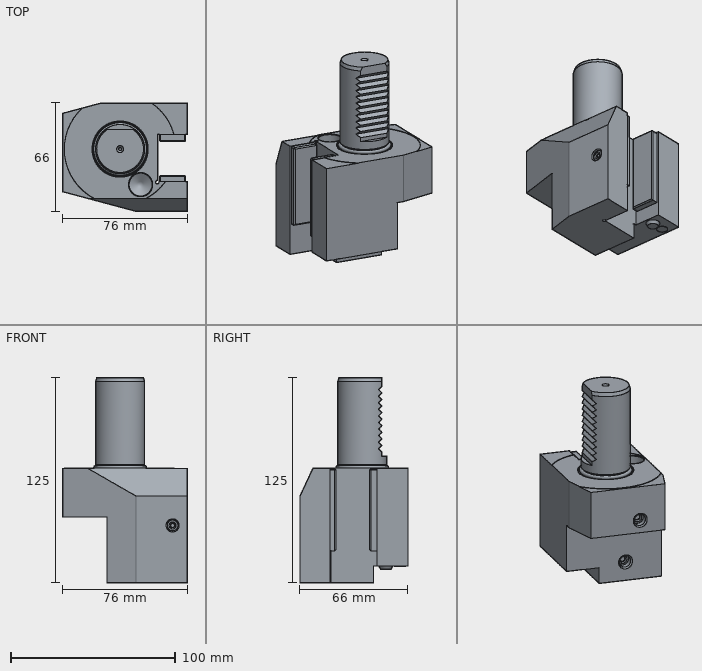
import cadquery as cq
import math


left_x = -35.0
right_x = 41.0
back_y = 28.0
front_y = -38.0
block_height = 70.0
disc_radius = 34.0
disc_rise = 0.2
corner_cut_angle = 15.0
back_cut_length = 23.0
front_cut_length = 44.8
bevel_width = 7.9
bevel_angle = 25.0
overhang_thickness = 30.0
lower_wall_x = -8.0
bottom_step_y = 7.0
bottom_step_height = 10.2

slot_x = 23.0
slot_back_y = 9.0
slot_front_y = -19.8
relief_radius = 1.0
relief_offset = 0.4
screw_x = 32.0
pad_length = 16.0
back_pad_thickness = 4.5
front_pad_thickness = 3.8
pad_chamfer = 0.8
pad_top_gap = 0.2
pad_height = 50.0

screw_socket_depth = 1.2
screw_socket_sides = 6
screw_socket_taper = 0.8
side_screw_y = -10.0
side_screw_zs = (-22.0, -58.0)
side_hole_radius = 3.6
side_hole_depth = 5.0
side_hole_chamfer = 0.9
side_socket_radius = 1.9
front_screw_z = -block_height / 2
front_hole_radius = 3.2
front_hole_depth = 0.6
front_hole_chamfer = 0.8
front_socket_radius = 1.4

bore_distance = 25.0
bore_direction = -60.0
bore_radius = 7.0
bore_chamfer = 0.4
bore_depth = 8.5
drill_tip_angle = 118.0

nozzle_y = 14.4
nozzle_base_radius = 4.2
nozzle_tip_radius = 3.2
nozzle_height = 2.0
plug_y = 23.0
plug_radius = 3.4
plug_height = 0.2

shank_radius = 15.0
shank_length = 55.0
shank_chamfer_height = 2.2
shank_chamfer_width = 0.8
neck_top_z = 2.2
flat_y = 12.0
flat_start_z = 7.2
tooth_pitch = 4.0
tooth_depth = tooth_pitch / 2
groove_count = 10
first_groove_z = 11.8
center_hole_radius = 2.1
center_pilot_radius = 0.9
center_pilot_depth = 3.8

ring_center_radius = 14.9
ring_section_radius = 1.2
ring_center_z = 0.2
recess_radius = 16.6
recess_chamfer = 0.5

block_top_z = -disc_rise
bottom_z = -block_height
step_z = bottom_z + bottom_step_height
neck_radius = ring_center_radius - ring_section_radius
recess_floor_z = ring_center_z - ring_section_radius


def box(x0, x1, y0, y1, z0, z1):
    return cq.Workplane("XY").box(x1 - x0, y1 - y0, z1 - z0, centered=False).translate((x0, y0, z0))


def revolved(points):
    """Turn a closed outline of (radius, height) points about Z."""
    return cq.Workplane("XZ").polyline(points).close().revolve(360, (0, 0), (0, 1))


def make_block():
    slope = math.tan(math.radians(corner_cut_angle))
    outline = [
        (left_x, front_y + front_cut_length * slope),
        (left_x + front_cut_length, front_y),
        (right_x, front_y),
        (right_x, back_y),
        (left_x + back_cut_length, back_y),
        (left_x, back_y - back_cut_length * slope),
    ]
    body = cq.Workplane("XY").workplane(offset=bottom_z).polyline(outline).close()
    body = body.extrude(block_height)
    overhang_z = bottom_z + block_height - overhang_thickness
    body = body.cut(box(left_x, lower_wall_x, front_y, back_y, bottom_z, overhang_z))
    body = body.cut(box(left_x, right_x, bottom_step_y, back_y, bottom_z, step_z))
    ledge = cq.Workplane("XY").workplane(offset=block_top_z).rect(4 * right_x, 4 * right_x)
    body = body.cut(ledge.circle(disc_radius).extrude(disc_rise))
    return body.cut(make_bevel())


def make_bevel():
    """Wedge that bevels the top front edge; it is continued past the block top."""
    run = math.tan(math.radians(bevel_angle))
    top_y = front_y + bevel_width
    foot_z = block_top_z - bevel_width / run
    wedge = [
        (front_y, foot_z),
        (top_y + disc_rise * run, 0),
        (front_y, 0),
    ]
    return cq.Workplane("YZ").workplane(offset=left_x).polyline(wedge).close().extrude(right_x - left_x)


def make_slot():
    slot = box(slot_x, right_x, slot_front_y, slot_back_y, bottom_z, 0)
    relief = cq.Workplane("XY").workplane(offset=bottom_z)
    relief = relief.center(slot_x - relief_offset, slot_front_y - relief_offset)
    return slot.union(relief.circle(relief_radius).extrude(block_height))


def make_pad(wall_y, inner_y, inner_face):
    """Clamping pad on a slot wall, chamfered around its inner face and along its top ends."""
    y0, y1 = sorted((wall_y, inner_y))
    top_z = block_top_z - pad_top_gap
    pad = box(screw_x - pad_length / 2, screw_x + pad_length / 2, y0, y1, top_z - pad_height, top_z)
    return pad.faces(inner_face).edges().add(pad.faces(">Z").edges("|Y")).chamfer(pad_chamfer)


def make_screw_hole(radius, depth, chamfer, socket_radius):
    """Countersunk hole from Z = 0 down to a screw head with a tapered hexagon socket."""
    hole = revolved([(0, 0), (radius + chamfer, 0), (radius, -chamfer), (radius, -depth), (0, -depth)])
    mouth = cq.Workplane("XY").workplane(offset=-depth).circle(socket_radius + screw_socket_taper)
    mouth = mouth.workplane(offset=-screw_socket_taper).circle(socket_radius).loft()
    socket = cq.Workplane("XY").workplane(offset=-depth - screw_socket_depth)
    socket = socket.polygon(screw_socket_sides, 2 * socket_radius).extrude(screw_socket_depth)
    return hole.union(mouth).union(socket)


def make_bore():
    tip_depth = bore_radius / math.tan(math.radians(drill_tip_angle / 2))
    bore = revolved([
        (0, 0),
        (bore_radius + bore_chamfer, 0),
        (bore_radius, -bore_chamfer),
        (bore_radius, -bore_depth),
        (0, -bore_depth - tip_depth),
    ])
    angle = math.radians(bore_direction)
    return bore.translate((bore_distance * math.cos(angle), bore_distance * math.sin(angle), 0))


def make_shank():
    neck_taper = shank_radius - neck_radius
    shank = revolved([
        (0, recess_floor_z),
        (neck_radius, recess_floor_z),
        (neck_radius, neck_top_z - neck_taper),
        (shank_radius, neck_top_z),
        (shank_radius, shank_length - shank_chamfer_height),
        (shank_radius - shank_chamfer_width, shank_length),
        (0, shank_length),
    ])
    shank = shank.cut(box(-shank_radius, shank_radius, flat_y, shank_radius, flat_start_z, shank_length))
    for index in range(groove_count):
        root_z = first_groove_z + index * tooth_pitch
        groove = [
            (flat_y - tooth_depth, root_z),
            (flat_y, root_z + tooth_depth),
            (flat_y, root_z - tooth_depth),
        ]
        groove = cq.Workplane("YZ").workplane(offset=-shank_radius).polyline(groove).close()
        shank = shank.cut(groove.extrude(2 * shank_radius))
    return shank.cut(make_center_hole())


def make_center_hole():
    """60 degree center hole in the shank end."""
    cone_depth = (center_hole_radius - center_pilot_radius) / math.tan(math.radians(30))
    return revolved([
        (0, shank_length),
        (center_hole_radius, shank_length),
        (center_pilot_radius, shank_length - cone_depth),
        (center_pilot_radius, shank_length - center_pilot_depth),
        (0, shank_length - center_pilot_depth),
    ])


def make_recess():
    return revolved([
        (0, recess_floor_z),
        (recess_radius, recess_floor_z),
        (recess_radius, -recess_chamfer),
        (recess_radius + recess_chamfer, 0),
        (0, 0),
    ])


def make_nozzle_and_plug():
    nozzle = revolved([
        (0, step_z),
        (nozzle_base_radius, step_z),
        (nozzle_tip_radius, step_z - nozzle_height),
        (0, step_z - nozzle_height),
    ]).translate((screw_x, nozzle_y, 0))
    plug = cq.Workplane("XY").workplane(offset=step_z).center(screw_x, plug_y)
    return nozzle.union(plug.circle(plug_radius).extrude(-plug_height))


def make_holder():
    holder = make_block().cut(make_slot()).cut(make_bore()).cut(make_recess()).union(make_shank())
    holder = holder.union(make_pad(slot_back_y, slot_back_y - back_pad_thickness, "<Y"))
    holder = holder.union(make_pad(slot_front_y, slot_front_y + front_pad_thickness, ">Y"))
    side_hole = make_screw_hole(side_hole_radius, side_hole_depth, side_hole_chamfer, side_socket_radius)
    side_hole = side_hole.rotate((0, 0, 0), (0, 1, 0), -90)
    for wall_x, screw_z in zip((left_x, lower_wall_x), side_screw_zs):
        holder = holder.cut(side_hole.translate((wall_x, side_screw_y, screw_z)))
    front_hole = make_screw_hole(
        front_hole_radius, front_hole_depth, front_hole_chamfer, front_socket_radius
    )
    front_hole = front_hole.rotate((0, 0, 0), (1, 0, 0), 90)
    holder = holder.cut(front_hole.translate((screw_x, front_y, front_screw_z)))
    return holder.union(make_nozzle_and_plug())


def make_seal_ring():
    ring = cq.Solid.makeTorus(ring_center_radius, ring_section_radius)
    return cq.Workplane(ring.translate(cq.Vector(0, 0, ring_center_z)))


holder = make_holder()
seal_ring = make_seal_ring()
result = cq.Compound.makeCompound([holder.val(), seal_ring.val()])